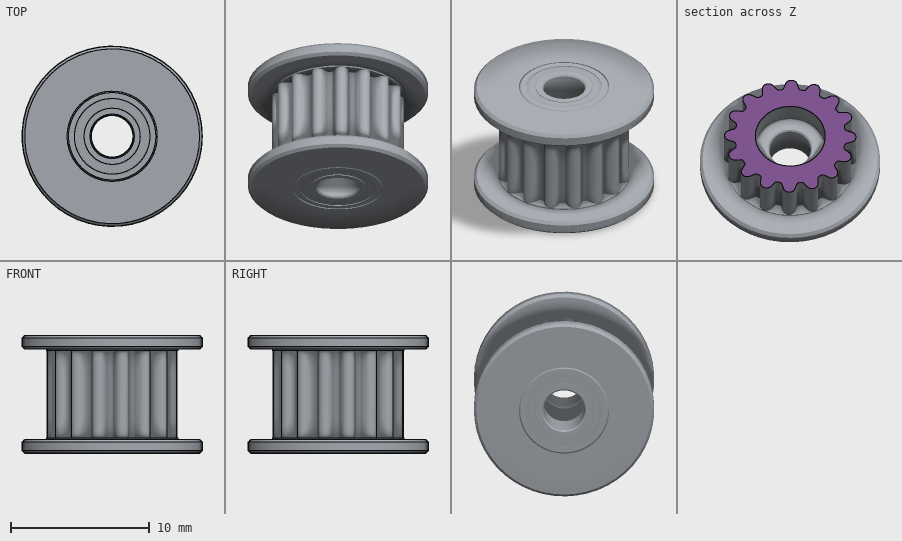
import cadquery as cq
import math

total_height = 8.5
flange_diameter = 13.0
flange_thickness = 1.0
flange_chamfer = 0.2

tooth_count = 16
tip_radius = 9.5 / 2
root_radius = 4.0
tooth_tip_round = 0.45
root_fillet = 0.15
wall_angle = math.radians(30)
collar_height = 0.1
hub_bore_diameter = 5.0

bearing_diameter = 6.5
bearing_bore = 3.0
bearing_width = 2.5
bearing_chamfer = 0.1
shield_outer_diameter = 5.45
shield_inner_diameter = 4.05
shield_recess = 0.05

hub_height = total_height - 2 * flange_thickness
hub_top = total_height - flange_thickness
upper_bearing_base = total_height - bearing_width
bearing_seat_depth = bearing_width - flange_thickness

tooth_pitch = 2 * math.pi / tooth_count
round_centre_radius = tip_radius - tooth_tip_round
round_centre_x = round_centre_radius * math.sin(tooth_pitch / 2)
round_centre_y = round_centre_radius * math.cos(tooth_pitch / 2)
wall_top_x = round_centre_x - tooth_tip_round * math.cos(wall_angle)
wall_top_y = round_centre_y + tooth_tip_round * math.sin(wall_angle)
floor_corner_x = wall_top_x - (wall_top_y - root_radius) * math.tan(wall_angle)
fillet_turn = math.pi / 2 - wall_angle
fillet_tangent = root_fillet * math.tan(fillet_turn / 2)
floor_half_width = floor_corner_x - fillet_tangent
wall_foot_x = floor_corner_x + fillet_tangent * math.sin(wall_angle)
wall_foot_y = root_radius + fillet_tangent * math.cos(wall_angle)
fillet_middle_x = floor_half_width + root_fillet * math.sin(fillet_turn / 2)
fillet_middle_y = root_radius + root_fillet * (1 - math.cos(fillet_turn / 2))

first_groove_angle = -math.pi / 2 - math.atan2(floor_half_width, root_radius)


def tooth_outline():
    """Closed outline of all teeth, walked counter-clockwise groove by groove."""
    def place(x, y, groove_angle):
        across = groove_angle + math.pi / 2
        return (
            y * math.cos(groove_angle) + x * math.cos(across),
            y * math.sin(groove_angle) + x * math.sin(across),
        )

    outline = cq.Workplane("XY").moveTo(*place(-floor_half_width, root_radius, first_groove_angle))
    for index in range(tooth_count):
        groove = first_groove_angle + index * tooth_pitch
        next_groove = groove + tooth_pitch
        tip = place(0, tip_radius, groove + tooth_pitch / 2)
        outline = (
            outline
            .lineTo(*place(floor_half_width, root_radius, groove))
            .threePointArc(
                place(fillet_middle_x, fillet_middle_y, groove),
                place(wall_foot_x, wall_foot_y, groove),
            )
            .lineTo(*place(wall_top_x, wall_top_y, groove))
            .threePointArc(tip, place(-wall_top_x, wall_top_y, next_groove))
            .lineTo(*place(-wall_foot_x, wall_foot_y, next_groove))
            .threePointArc(
                place(-fillet_middle_x, fillet_middle_y, next_groove),
                place(-floor_half_width, root_radius, next_groove),
            )
        )
    return outline.close()


def cylinder(diameter, base, height):
    return cq.Workplane("XY").workplane(offset=base).circle(diameter / 2).extrude(height)


def make_hub():
    """Toothed barrel with a thin round collar and a bearing seat at each end."""
    hub = tooth_outline().extrude(hub_height).translate((0, 0, flange_thickness))
    for collar_base in (flange_thickness, hub_top - collar_height):
        hub = hub.union(cylinder(2 * tip_radius, collar_base, collar_height))
    hub = hub.cut(cylinder(hub_bore_diameter, 0, total_height))
    for seat_base in (flange_thickness, upper_bearing_base):
        hub = hub.cut(cylinder(bearing_diameter, seat_base, bearing_seat_depth))
    return hub


def make_flange(base):
    """Flat disc with both rims chamfered and a hole for the bearing."""
    disc = cylinder(flange_diameter, base, flange_thickness).faces("<Z or >Z").chamfer(flange_chamfer)
    return disc.cut(cylinder(bearing_diameter, base, flange_thickness))


def make_bearing(base):
    """Shielded bearing, with the shields slightly sunk between the two rings."""
    bearing = (
        cylinder(bearing_diameter, base, bearing_width)
        .cut(cylinder(bearing_bore, base, bearing_width))
        .faces("<Z or >Z")
        .chamfer(bearing_chamfer)
    )
    for recess_base in (base, base + bearing_width - shield_recess):
        recess = cylinder(shield_outer_diameter, recess_base, shield_recess)
        recess = recess.cut(cylinder(shield_inner_diameter, recess_base, shield_recess))
        bearing = bearing.cut(recess)
    return bearing


hub = make_hub()
flanges = [make_flange(base) for base in (0, hub_top)]
bearings = [make_bearing(base) for base in (0, upper_bearing_base)]

result = cq.Compound.makeCompound([
    hub.val(),
    *[flange.val() for flange in flanges],
    *[bearing.val() for bearing in bearings],
])